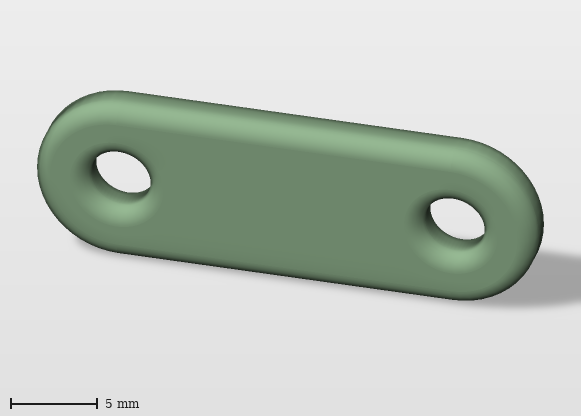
import cadquery as cq

length = 30.0
height = length / 3
thickness = 3.0

edge_radius = thickness / 3

hole_diameter = 3.6
hole_spacing = length - height


def make_plate():
    """Flat plate with semicircular ends, centred on the origin, thin along Y."""
    return cq.Workplane("XZ").slot2D(length, height).extrude(thickness / 2, both=True)


def cut_holes(plate):
    """Cut the two through holes along Y."""
    centres = [(-hole_spacing / 2, 0), (hole_spacing / 2, 0)]
    cutters = (
        cq.Workplane("XZ", origin=(0, thickness / 2, 0))
        .pushPoints(centres)
        .circle(hole_diameter / 2)
        .extrude(thickness)
    )
    return plate.cut(cutters)


def round_edges(plate):
    """Round the outline and the hole mouths on both flat faces."""
    return plate.faces("<Y or >Y").edges().fillet(edge_radius)


result = round_edges(cut_holes(make_plate()))